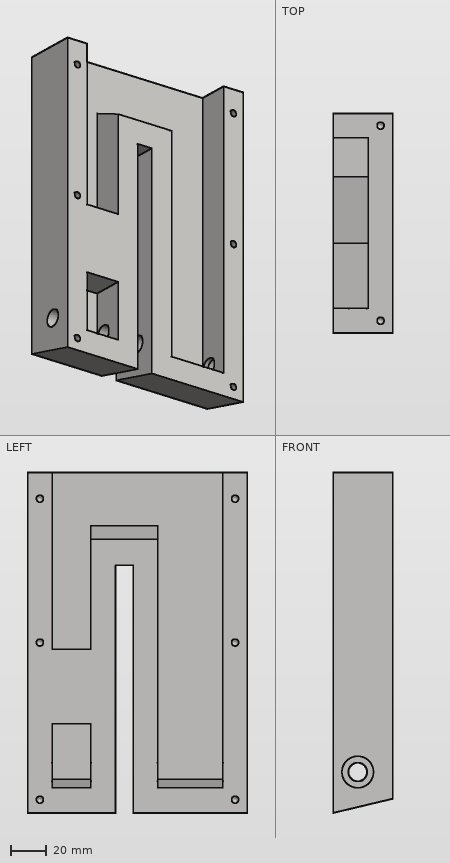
import cadquery as cq
import math

thickness = 34.0
width = 125.0
height = 193.8

wall = 14.0
slot_width = 10.0
inlet_width = 22.0
channel_depth = 20.0

outlet_start = wall
outlet_end = width - 3 * wall - slot_width - inlet_width
slot_start = outlet_end + wall
inlet_start = slot_start + slot_width + wall
inlet_end = inlet_start + inlet_width

slot_top = 140.9
island_top = 155.7
inlet_floor = 93.1
pocket_top = 50.7

base_angle = 13.4
island_angle = 21.1

channel_floor = wall / math.cos(math.radians(base_angle))

port_x = 14.0
port_z = 23.35
port_diameter = 10.5
counterbore_diameter = 18.0
counterbore_depth = 11.0

screw_diameter = 4.0
screw_depth = 10.0
drill_point_angle = 118.0
screw_edge_distance = wall / 2
face_screw_heights = (7.6, 97.0, 178.8)


def extrude_across(profile, y_start, y_end):
    """Extrude an XZ profile between two Y positions."""
    return cq.Workplane("XZ", origin=(0, y_start, 0)).polyline(profile).close().extrude(y_start - y_end)


def sloped_rise(depth, angle):
    """Height gained by a sloped surface over a distance along X."""
    return depth * math.tan(math.radians(angle))


def make_block():
    """Block whose bottom face rises towards +X."""
    profile = [
        (0, 0),
        (thickness, sloped_rise(thickness, base_angle)),
        (thickness, height),
        (0, height),
    ]
    return extrude_across(profile, 0, width)


def make_recess(y_start, y_end, bottom, top, floor_angle=0.0):
    """Recess open to the -X face, with a floor that may rise towards +X."""
    profile = [
        (0, bottom),
        (channel_depth, bottom + sloped_rise(channel_depth, floor_angle)),
        (channel_depth, top),
        (0, top),
    ]
    return extrude_across(profile, y_start, y_end)


def make_slot():
    """Slot through the full thickness, open at the bottom."""
    slot = cq.Workplane("XY", origin=(0, slot_start, 0))
    return slot.box(thickness, slot_width, slot_top, centered=False)


def make_port():
    """Port through all the walls, counterbored from the -Y side."""
    port_plane = cq.Workplane("XZ", origin=(port_x, 0, port_z))
    bore = port_plane.circle(port_diameter / 2).extrude(-width)
    counterbore = port_plane.circle(counterbore_diameter / 2).extrude(-counterbore_depth)
    return bore.union(counterbore)


def make_screw_hole(position, direction):
    """Drilled blind hole starting at a position and running along a direction."""
    radius = screw_diameter / 2
    point_length = radius / math.tan(math.radians(drill_point_angle / 2))
    start = cq.Vector(*position)
    axis = cq.Vector(*direction)
    shaft = cq.Solid.makeCylinder(radius, screw_depth, start, axis)
    point = cq.Solid.makeCone(radius, 0, point_length, start + axis * screw_depth, axis)
    return shaft.fuse(point)


result = make_block()

result = result.cut(make_recess(outlet_start, outlet_end, channel_floor, height, base_angle))
result = result.cut(make_recess(outlet_end, inlet_start, island_top, height, island_angle))
result = result.cut(make_recess(inlet_start, inlet_end, inlet_floor, height))

result = result.cut(make_recess(inlet_start, inlet_end, channel_floor, pocket_top, base_angle))

result = result.cut(make_slot())
result = result.cut(make_port())

for screw_y in (screw_edge_distance, width - screw_edge_distance):
    for screw_z in face_screw_heights:
        result = result.cut(make_screw_hole((0, screw_y, screw_z), (1, 0, 0)))
    result = result.cut(make_screw_hole((thickness - screw_edge_distance, screw_y, height), (0, 0, -1)))